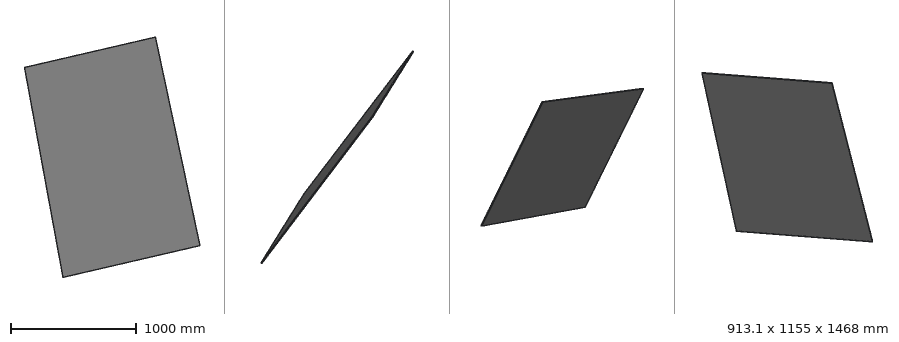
import cadquery as cq
import math

size_x = 913.0
size_z = 1468.0
lower_width = 1155.0
upper_width = 1104.0
thickness = 10.0

diagonal = math.hypot(size_x, size_z)
diagonal_angle = math.atan2(size_z, size_x)
end_correction = thickness * math.cos(2 * diagonal_angle) / diagonal
slope_angle = diagonal_angle - end_correction
slope_length = (size_z - thickness * math.cos(slope_angle)) / math.sin(slope_angle)

down_slope = (math.cos(slope_angle), 0, -math.sin(slope_angle))
plate_normal = (math.sin(slope_angle), 0, math.cos(slope_angle))
upper_corner = (0, 0, slope_length * math.sin(slope_angle))
plate_plane = cq.Plane(origin=upper_corner, xDir=down_slope, normal=plate_normal)

result = (
    cq.Workplane(plate_plane)
    .polyline([
        (0, 0),
        (slope_length, 0),
        (slope_length, lower_width),
        (0, upper_width),
    ])
    .close()
    .extrude(thickness)
)